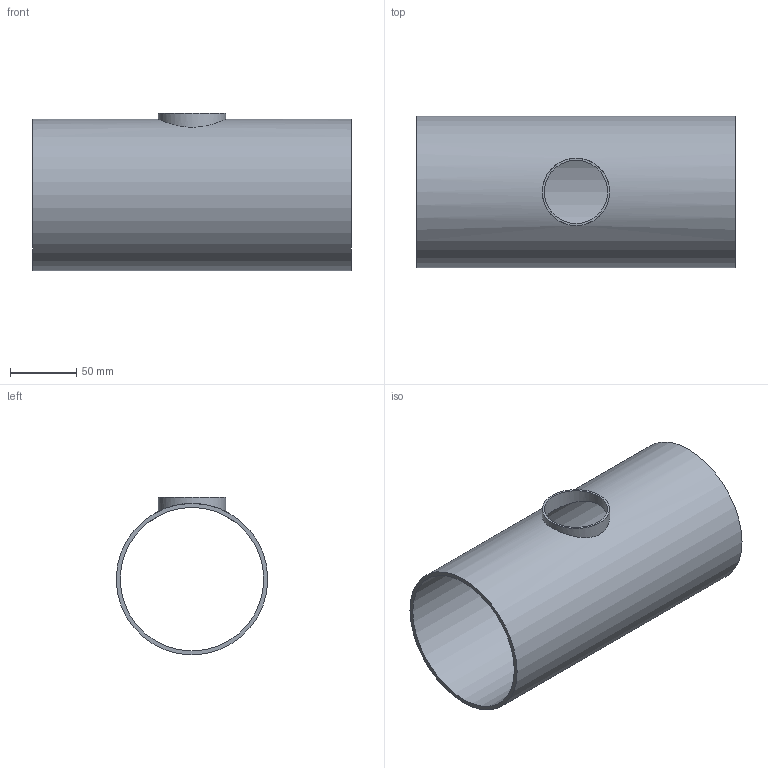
import cadquery as cq

run_length = 240.0
run_outer_diameter = 114.3
run_bore_diameter = 108.3

branch_outer_diameter = 50.8
branch_bore_diameter = 47.8
overall_height = 119.05
branch_top = overall_height - run_outer_diameter / 2


def run_cylinder(diameter):
    """Cylinder of the full pipe length along the X axis."""
    return cq.Workplane("YZ").circle(diameter / 2).extrude(run_length / 2, both=True)


def branch_cylinder(diameter):
    """Cylinder from the main pipe axis up to the rim of the branch."""
    return cq.Workplane("XY").circle(diameter / 2).extrude(branch_top)


outside = run_cylinder(run_outer_diameter).union(branch_cylinder(branch_outer_diameter))
result = outside.cut(run_cylinder(run_bore_diameter)).cut(branch_cylinder(branch_bore_diameter))